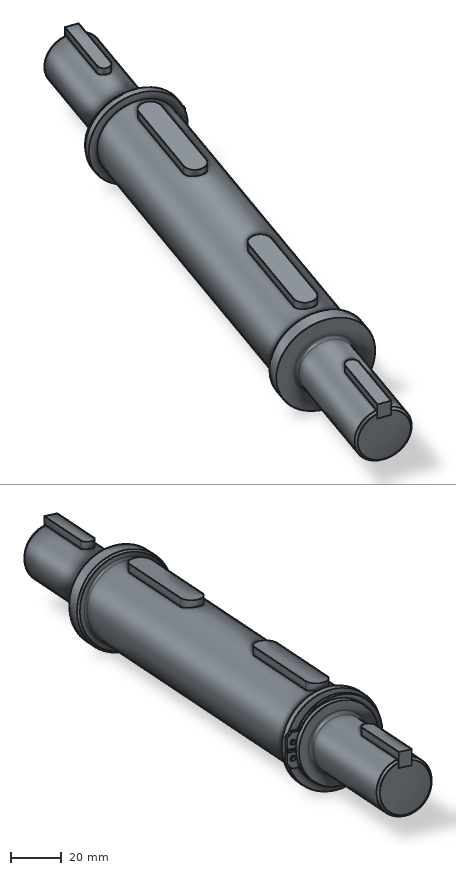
import cadquery as cq
import math

LENGTH = 283.7
JOURNAL_RADIUS = 12.5
JOURNAL_LENGTH = 53.0
SEAT_DIAMETER = 36.0
SEAT_RADIUS = SEAT_DIAMETER / 2
COLLAR_RADIUS = 21.5
COLLAR_WIDTH = 7.0
COLLAR_CHAMFER = 0.9
END_CHAMFER = 1.0
JOURNAL_FILLET = 1.5
SEAT_FILLET = 0.9

SEAT_START = JOURNAL_LENGTH
COLLAR_END = LENGTH - JOURNAL_LENGTH
COLLAR_START = COLLAR_END - COLLAR_WIDTH

LAND_WIDTH = 2.5
RING_THICKNESS = 1.7
GROOVE_RADIUS = 17.0
RING_OUTER_RADIUS = 19.3
RING_OFFSET = 1.7
LUG_REACH = 21.8
LUG_WIDTH = 15.3
LUG_CHAMFER = 2.0
RING_GAP = 1.5
PLIER_HOLE_RADIUS = 1.0
PLIER_HOLE_Y = 19.3
PLIER_HOLE_Z = 3.5
WASHER_RADIUS = COLLAR_RADIUS
WASHER_THICKNESS = 3.0

RING_START = SEAT_START + LAND_WIDTH
WASHER_START = RING_START + RING_THICKNESS

SEAT_KEY_LENGTH = 50.2
SEAT_KEY_WIDTH = 10.0
SEAT_KEY_BOTTOM = 13.0
SEAT_KEY_TOP = 21.0
SEAT_KEY_STARTS = (66.5, 166.2)

END_KEY_LENGTH = 32.0
END_KEY_WIDTH = 6.0
END_KEY_BOTTOM = 8.8
END_KEY_TOP = 15.5


def disc(start, thickness, radius):
    """Cylinder on the shaft axis that begins at x = start."""
    return cq.Workplane("YZ", origin=(start, 0, 0)).circle(radius).extrude(thickness)


def make_seat_key(start):
    """Key with two round ends that sits on the thick part of the shaft."""
    return (
        cq.Workplane("XY", origin=(start + SEAT_KEY_LENGTH / 2, 0, SEAT_KEY_BOTTOM))
        .slot2D(SEAT_KEY_LENGTH, SEAT_KEY_WIDTH)
        .extrude(SEAT_KEY_TOP - SEAT_KEY_BOTTOM)
    )


def make_end_key(shaft_end, inward):
    """Key with a square end flush with the shaft end and a round inner end.

    inward is the X direction into the shaft: +1 or -1.
    """
    half_width = END_KEY_WIDTH / 2
    tip_x = shaft_end + inward * END_KEY_LENGTH
    arc_x = tip_x - inward * half_width
    return (
        cq.Workplane("XY", origin=(0, 0, END_KEY_BOTTOM))
        .moveTo(shaft_end, -half_width)
        .lineTo(arc_x, -half_width)
        .threePointArc((tip_x, 0), (arc_x, half_width))
        .lineTo(shaft_end, half_width)
        .close()
        .extrude(END_KEY_TOP - END_KEY_BOTTOM)
    )


def make_shaft(keys):
    """Turned shaft with collar, ring groove and a keyway for each key."""
    journal_bow = JOURNAL_FILLET * (1 - math.sqrt(0.5))
    seat_bow = SEAT_FILLET * (1 - math.sqrt(0.5))
    journal_fillet_top = JOURNAL_RADIUS + JOURNAL_FILLET
    journal_fillet_middle = JOURNAL_RADIUS + journal_bow
    half_profile = (
        cq.Workplane("XZ")
        .moveTo(0, 0)
        .lineTo(0, JOURNAL_RADIUS - END_CHAMFER)
        .lineTo(END_CHAMFER, JOURNAL_RADIUS)
        .lineTo(SEAT_START - JOURNAL_FILLET, JOURNAL_RADIUS)
        .threePointArc((SEAT_START - journal_bow, journal_fillet_middle), (SEAT_START, journal_fillet_top))
        .lineTo(SEAT_START, SEAT_RADIUS)
        .lineTo(RING_START, SEAT_RADIUS)
        .lineTo(RING_START, GROOVE_RADIUS)
        .lineTo(WASHER_START, GROOVE_RADIUS)
        .lineTo(WASHER_START, SEAT_RADIUS)
        .lineTo(COLLAR_START - SEAT_FILLET, SEAT_RADIUS)
        .threePointArc(
            (COLLAR_START - seat_bow, SEAT_RADIUS + seat_bow),
            (COLLAR_START, SEAT_RADIUS + SEAT_FILLET),
        )
        .lineTo(COLLAR_START, COLLAR_RADIUS - COLLAR_CHAMFER)
        .lineTo(COLLAR_START + COLLAR_CHAMFER, COLLAR_RADIUS)
        .lineTo(COLLAR_END, COLLAR_RADIUS)
        .lineTo(COLLAR_END, journal_fillet_top)
        .threePointArc(
            (COLLAR_END + journal_bow, journal_fillet_middle),
            (COLLAR_END + JOURNAL_FILLET, JOURNAL_RADIUS),
        )
        .lineTo(LENGTH - END_CHAMFER, JOURNAL_RADIUS)
        .lineTo(LENGTH, JOURNAL_RADIUS - END_CHAMFER)
        .lineTo(LENGTH, 0)
        .close()
    )
    shaft = half_profile.revolve(360, (0, 0, 0), (1, 0, 0))
    for key in keys:
        shaft = shaft.cut(key)
    return shaft


def make_retaining_ring():
    """Open ring, thickest opposite its gap, with two drilled lugs beside the gap."""
    plane = cq.Workplane("YZ", origin=(RING_START, 0, 0))
    outer = plane.center(-RING_OFFSET, 0).circle(RING_OUTER_RADIUS).extrude(RING_THICKNESS)
    lugs = (
        plane.center(LUG_REACH / 2, 0)
        .rect(LUG_REACH, LUG_WIDTH)
        .extrude(RING_THICKNESS)
        .faces(">Y")
        .edges("|X")
        .chamfer(LUG_CHAMFER)
    )
    gap = plane.center(LUG_REACH / 2, 0).rect(LUG_REACH, RING_GAP).extrude(RING_THICKNESS)
    plier_holes = (
        plane.pushPoints([(PLIER_HOLE_Y, -PLIER_HOLE_Z), (PLIER_HOLE_Y, PLIER_HOLE_Z)])
        .circle(PLIER_HOLE_RADIUS)
        .extrude(RING_THICKNESS)
    )
    bore = disc(RING_START, RING_THICKNESS, GROOVE_RADIUS)
    return outer.union(lugs).cut(bore).cut(gap).cut(plier_holes)


def make_washer():
    """Plain washer between the retaining ring and the rest of the seat."""
    bore = disc(WASHER_START, WASHER_THICKNESS, SEAT_RADIUS)
    return disc(WASHER_START, WASHER_THICKNESS, WASHER_RADIUS).cut(bore)


seat_keys = [make_seat_key(start) for start in SEAT_KEY_STARTS]
end_keys = [make_end_key(0, 1), make_end_key(LENGTH, -1)]
keys = seat_keys + end_keys

shaft = make_shaft(keys)
retaining_ring = make_retaining_ring()
washer = make_washer()

result = cq.Compound.makeCompound([
    shaft.solids().val(),
    retaining_ring.solids().val(),
    washer.solids().val(),
    *[key.val() for key in keys],
])